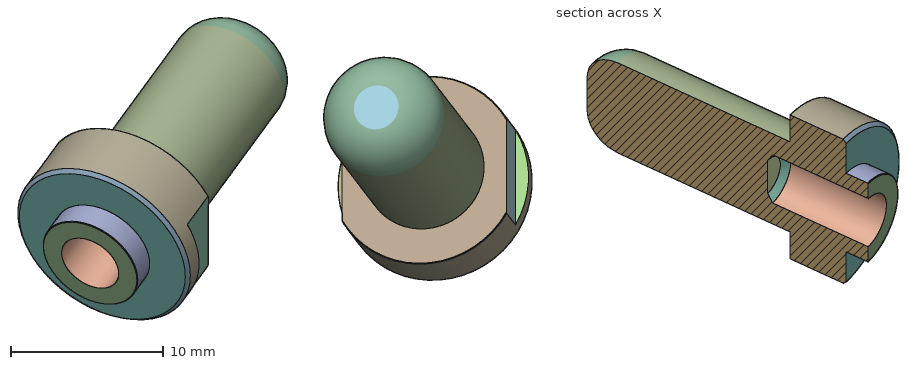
import cadquery as cq
import math

total_length = 22.4
spigot_length = 1.75
collar_length = 4.5
rim_length = 1.5

collar_diameter = 12.75
body_diameter = 8.0
spigot_diameter = 7.0
across_flats = 11.0
bore_diameter = 4.2
bore_floor_diameter = 2.91
bore_depth = 8.0
bore_cone_angle = 118.0

dome_radius = 2.5
collar_chamfer = 0.25
collar_back_chamfer = 0.05
spigot_chamfer = 0.05

front_y = -total_length / 2
collar_front_y = front_y + spigot_length
collar_back_y = collar_front_y + collar_length
flat_start_y = collar_front_y + rim_length


def rod(diameter, start_y, end_y):
    """Solid cylinder on the Y axis between two stations."""
    length = end_y - start_y
    return cq.Workplane("XZ", origin=(0, start_y, 0)).circle(diameter / 2).extrude(-length)


def make_collar():
    """Collar chamfered on both rims, with two flats facing -X and +X."""
    collar = rod(collar_diameter, collar_front_y, collar_back_y)
    collar = collar.faces("<Y").chamfer(collar_chamfer)
    collar = collar.faces(">Y").chamfer(collar_back_chamfer)
    flat_length = collar_back_y - flat_start_y
    flat_y = (flat_start_y + collar_back_y) / 2
    for side in (-1, 1):
        cutter = cq.Workplane("XY").box(collar_diameter, flat_length, collar_diameter)
        cutter_x = side * (across_flats + collar_diameter) / 2
        collar = collar.cut(cutter.translate((cutter_x, flat_y, 0)))
    return collar


def make_bore():
    """Straight blind bore with a short cone leading to its flat floor."""
    floor_y = front_y + bore_depth
    cone_width = (bore_diameter - bore_floor_diameter) / 2
    cone_length = cone_width / math.tan(math.radians(bore_cone_angle / 2))
    profile = [
        (0, front_y),
        (bore_diameter / 2, front_y),
        (bore_diameter / 2, floor_y - cone_length),
        (bore_floor_diameter / 2, floor_y),
        (0, floor_y),
    ]
    return cq.Workplane("XY").polyline(profile).close().revolve(360, (0, 0, 0), (0, 1, 0))


body = rod(body_diameter, collar_back_y, total_length / 2).faces(">Y").edges().fillet(dome_radius)

spigot = rod(spigot_diameter, front_y, collar_front_y).faces("<Y").chamfer(spigot_chamfer)

result = make_collar().union(body).union(spigot).cut(make_bore())